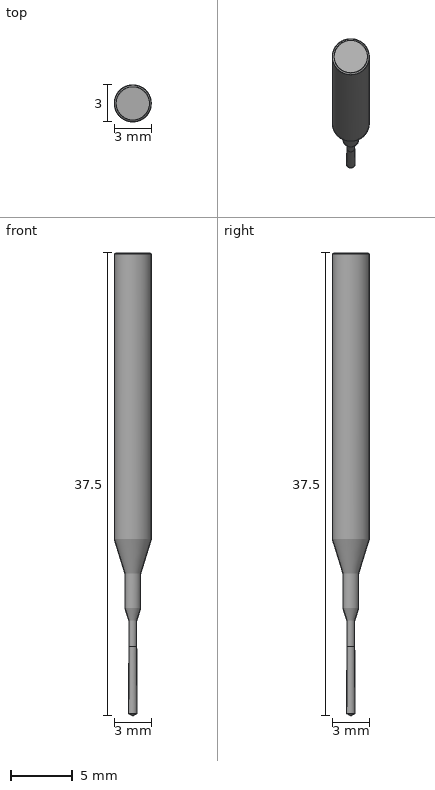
import cadquery as cq

TOTAL_LENGTH = 37.5
SHANK_BOTTOM = 14.3
COLLAR_TOP = 11.5
COLLAR_BOTTOM = 8.7
NECK_TOP = 7.7
CUTTER_TOP = 5.62
POINT_HEIGHT = 0.2

SHANK_DIAMETER = 3.0
COLLAR_DIAMETER = 1.28
NECK_DIAMETER = 0.65
CUTTER_DIAMETER = 0.7

SHANK_CHAMFER_WIDTH = 0.15
SHANK_CHAMFER_HEIGHT = 0.08


def revolve_profile(points):
    """Turn a closed (radius, height) outline around the Z axis."""
    outline = cq.Workplane("XZ").polyline(points).close()
    return outline.revolve(360, (0, 0, 0), (0, 1, 0))


def make_holder():
    """Shank with a chamfered top, stepping down through two cones to the neck."""
    shank_radius = SHANK_DIAMETER / 2
    collar_radius = COLLAR_DIAMETER / 2
    neck_radius = NECK_DIAMETER / 2
    return revolve_profile([
        (0, CUTTER_TOP),
        (neck_radius, CUTTER_TOP),
        (neck_radius, NECK_TOP),
        (collar_radius, COLLAR_BOTTOM),
        (collar_radius, COLLAR_TOP),
        (shank_radius, SHANK_BOTTOM),
        (shank_radius, TOTAL_LENGTH - SHANK_CHAMFER_HEIGHT),
        (shank_radius - SHANK_CHAMFER_WIDTH, TOTAL_LENGTH),
        (0, TOTAL_LENGTH),
    ])


def make_cutter():
    """Back-tapered cutting length with a conical point, butted against the neck."""
    return revolve_profile([
        (0, 0),
        (CUTTER_DIAMETER / 2, POINT_HEIGHT),
        (NECK_DIAMETER / 2, CUTTER_TOP),
        (0, CUTTER_TOP),
    ])


holder = make_holder()
cutter = make_cutter()

result = cq.Compound.makeCompound([holder.val(), cutter.val()])